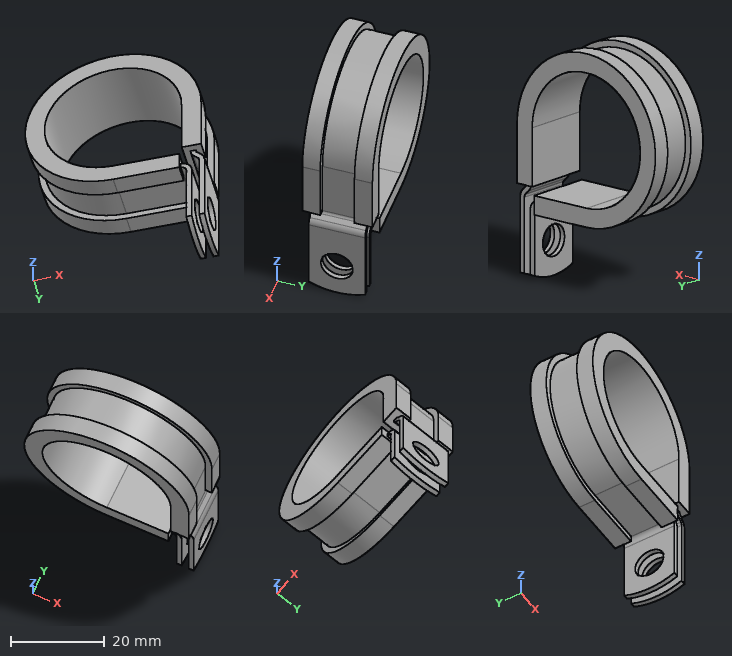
import cadquery as cq
import math

outer_radius = 19.35
cushion_thickness = 4.3
cushion_width = 15.75
leg_end_z = -13.2
arm_end_x = 14.5

groove_width = 7.7
groove_depth = 1.5

strap_width = 12.7
strap_thickness = 1.2
elbow_inner_radius = 1.2
jog_inner_radius = 1.05
jog_angle = math.radians(45)
far_tab_face_x = 19.7
total_height = 54.2
tab_tip_sagitta = 1.3
hole_diameter = 7.15
hole_z = -27.0

inner_radius = outer_radius - cushion_thickness
strap_mid_radius = outer_radius - groove_depth - strap_thickness / 2
tab_bottom_z = outer_radius - total_height


def loop(radius, width):
    """Solid teardrop: three quarters of a circle with a straight leg and arm."""
    middle = radius * math.sqrt(0.5)
    return (
        cq.Workplane("XZ")
        .moveTo(radius, 0)
        .threePointArc((-middle, middle), (0, -radius))
        .lineTo(radius, -radius)
        .close()
        .extrude(width / 2, both=True)
    )


def corner_opening():
    """Block that cuts the loop back to the ends of its leg and arm."""
    opening = (
        cq.Workplane("XZ")
        .moveTo(inner_radius, leg_end_z)
        .lineTo(outer_radius, leg_end_z)
        .lineTo(outer_radius, -outer_radius)
        .lineTo(arm_end_x, -outer_radius)
        .lineTo(arm_end_x, -inner_radius)
        .lineTo(inner_radius, -inner_radius)
        .close()
    )
    return opening.extrude(cushion_width / 2, both=True)


def make_cushion():
    body = loop(outer_radius, cushion_width).cut(loop(inner_radius, cushion_width))
    groove_ring = loop(outer_radius, groove_width).cut(
        loop(outer_radius - groove_depth, groove_width)
    )
    return body.cut(groove_ring).cut(corner_opening())


def near_tab_path():
    """Strap centreline from the arm end, round a right-angle elbow, down to the tip."""
    radius = elbow_inner_radius + strap_thickness / 2
    start = (arm_end_x, -strap_mid_radius)
    elbow_end = (arm_end_x + radius, -strap_mid_radius - radius)
    return (
        cq.Workplane("XZ")
        .moveTo(*start)
        .radiusArc(elbow_end, radius)
        .lineTo(elbow_end[0], tab_bottom_z)
    )


def far_tab_path():
    """Strap centreline from the leg end, through an outward jog, down to the tip."""
    radius = jog_inner_radius + strap_thickness / 2
    tab_x = far_tab_face_x - strap_thickness / 2
    arc_dx = radius * (1 - math.cos(jog_angle))
    arc_dz = radius * math.sin(jog_angle)
    slope_dx = tab_x - strap_mid_radius - 2 * arc_dx
    slope_dz = slope_dx / math.tan(jog_angle)
    slope_start = (strap_mid_radius + arc_dx, leg_end_z - arc_dz)
    slope_end = (slope_start[0] + slope_dx, slope_start[1] - slope_dz)
    jog_end = (tab_x, slope_end[1] - arc_dz)
    return (
        cq.Workplane("XZ")
        .moveTo(strap_mid_radius, leg_end_z)
        .radiusArc(slope_start, -radius)
        .lineTo(*slope_end)
        .radiusArc(jog_end, radius)
        .lineTo(tab_x, tab_bottom_z)
    )


def tab_envelope():
    """Tab outline with its rounded end and bolt hole, extruded along X past both tabs."""
    half_width = strap_width / 2
    shoulder_z = tab_bottom_z + tab_tip_sagitta
    return (
        cq.Workplane("YZ")
        .moveTo(-half_width, 0)
        .lineTo(-half_width, shoulder_z)
        .threePointArc((0, tab_bottom_z), (half_width, shoulder_z))
        .lineTo(half_width, 0)
        .close()
        .moveTo(0, hole_z)
        .circle(hole_diameter / 2)
        .extrude(far_tab_face_x + strap_thickness)
    )


def make_tabs():
    near_section = cq.Workplane("YZ", origin=(arm_end_x, 0, -strap_mid_radius))
    near_tab = near_section.rect(strap_width, strap_thickness).sweep(near_tab_path())
    far_section = cq.Workplane("XY", origin=(strap_mid_radius, 0, leg_end_z))
    far_tab = far_section.rect(strap_thickness, strap_width).sweep(far_tab_path())
    return near_tab.union(far_tab).intersect(tab_envelope())


result = make_cushion().union(make_tabs())